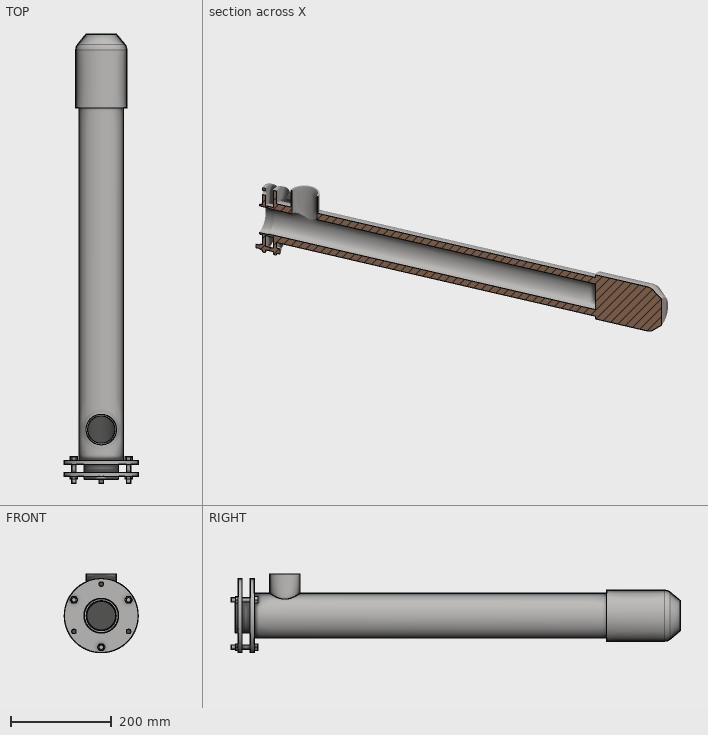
import cadquery as cq
import math

TOTAL_LENGTH = 890.7
NOZZLE_TOP_Z = 82.9

PIPE_DIAMETER = 89.0
PIPE_BORE = 57.0

CAP_DIAMETER = 101.42
CAP_TIP_DIAMETER = 59.6
CAP_LENGTH = 146.5
CAP_START_Y = TOTAL_LENGTH - CAP_LENGTH
CAP_TAPER_LENGTH = 25.0
CAP_SHOULDER_RADIUS = 17.0

FLANGE_DIAMETER = 147.0
FLANGE_THICKNESS = 8.0
FLANGE_GAP = 16.0
FRONT_FLANGE_Y = 14.0
REAR_FLANGE_Y = FRONT_FLANGE_Y + FLANGE_THICKNESS + FLANGE_GAP
PIPE_START_Y = REAR_FLANGE_Y + FLANGE_THICKNESS
COLLAR_DIAMETER = 69.0
SOCKET_DIAMETER = 59.6
SOCKET_DEPTH = 20.0
COLLAR_CHAMFER = 1.0
COLLAR_PROTRUSION = 6.0
COLLAR_START_Y = FRONT_FLANGE_Y - COLLAR_PROTRUSION

BOLT_CIRCLE_RADIUS = 62.5
BOLT_DIAMETER = 9.0
HEX_ACROSS_FLATS = 13.0
NUT_THICKNESS = 5.0
HEAD_THICKNESS = 7.2
BOLT_ANGLES = (30, 150, 270)
HOLE_ANGLES = (90, 210, 330)

NOZZLE_Y = 106.8
NOZZLE_DIAMETER = 60.3
NOZZLE_BORE = 54.0


def cylinder_y(diameter, start_y, length, x=0.0, z=0.0):
    """Cylinder parallel to Y, running towards +Y from start_y."""
    return cq.Workplane(cq.Solid.makeCylinder(
        diameter / 2, length, cq.Vector(x, start_y, z), cq.Vector(0, 1, 0)))


def cylinder_z(diameter, start_z, end_z):
    """Cylinder on the nozzle axis between two heights."""
    return cq.Workplane(cq.Solid.makeCylinder(
        diameter / 2, end_z - start_z, cq.Vector(0, NOZZLE_Y, start_z), cq.Vector(0, 0, 1)))


def hexagon_y(start_y, thickness, x, z):
    """Hexagonal bolt head or nut with its axis parallel to Y."""
    across_corners = HEX_ACROSS_FLATS / math.cos(math.pi / 6)
    plane = cq.Plane(origin=(x, start_y, z), xDir=(1, 0, 0), normal=(0, 1, 0))
    return cq.Workplane(plane).polygon(6, across_corners).extrude(thickness)


def bolt_circle_point(angle):
    """X and Z of a place on the bolt circle, angle measured from +X towards +Z."""
    radians = math.radians(angle)
    return BOLT_CIRCLE_RADIUS * math.cos(radians), BOLT_CIRCLE_RADIUS * math.sin(radians)


def make_cap():
    """Solid of revolution: cylinder, rounded shoulder and taper to a flat tip."""
    shoulder_y = TOTAL_LENGTH - CAP_TAPER_LENGTH
    profile = [
        (0, CAP_START_Y),
        (CAP_DIAMETER / 2, CAP_START_Y),
        (CAP_DIAMETER / 2, shoulder_y),
        (CAP_TIP_DIAMETER / 2, TOTAL_LENGTH),
        (0, TOTAL_LENGTH),
    ]
    cap = cq.Workplane("XY").polyline(profile).close().revolve(360, (0, 0, 0), (0, 1, 0))
    shoulder = cq.selectors.NearestToPointSelector((0, shoulder_y, 0))
    return cap.edges("%CIRCLE").edges(shoulder).fillet(CAP_SHOULDER_RADIUS)


def make_flanges():
    """Both flanges, the open holes of the front one, and the collar through them."""
    flanges = cylinder_y(FLANGE_DIAMETER, FRONT_FLANGE_Y, FLANGE_THICKNESS)
    flanges = flanges.union(cylinder_y(FLANGE_DIAMETER, REAR_FLANGE_Y, FLANGE_THICKNESS))
    for angle in HOLE_ANGLES:
        x, z = bolt_circle_point(angle)
        flanges = flanges.cut(
            cylinder_y(BOLT_DIAMETER, FRONT_FLANGE_Y, FLANGE_THICKNESS, x, z))
    collar = cylinder_y(COLLAR_DIAMETER, COLLAR_START_Y, PIPE_START_Y - COLLAR_START_Y)
    return flanges.union(collar.faces("<Y").chamfer(COLLAR_CHAMFER))


def make_bolt(angle):
    """Bolt through both flanges, head on the rear flange and nut on the front one."""
    x, z = bolt_circle_point(angle)
    bolt = cylinder_y(BOLT_DIAMETER, 0, PIPE_START_Y, x, z)
    bolt = bolt.union(hexagon_y(FRONT_FLANGE_Y - NUT_THICKNESS, NUT_THICKNESS, x, z))
    return bolt.union(hexagon_y(PIPE_START_Y, HEAD_THICKNESS, x, z))


def cut_bores(body):
    """Bore from the collar to the cap, with a socket at the collar mouth, and bore the nozzle."""
    body = body.cut(cylinder_y(PIPE_BORE, COLLAR_START_Y, CAP_START_Y - COLLAR_START_Y))
    body = body.cut(cylinder_y(SOCKET_DIAMETER, COLLAR_START_Y, SOCKET_DEPTH))
    return body.cut(cylinder_z(NOZZLE_BORE, 0, NOZZLE_TOP_Z))


outside = cylinder_y(PIPE_DIAMETER, PIPE_START_Y, CAP_START_Y - PIPE_START_Y)
outside = outside.union(make_cap()).union(make_flanges())
outside = outside.union(cylinder_z(NOZZLE_DIAMETER, 0, NOZZLE_TOP_Z))
for bolt_angle in BOLT_ANGLES:
    outside = outside.union(make_bolt(bolt_angle))

result = cut_bores(outside)